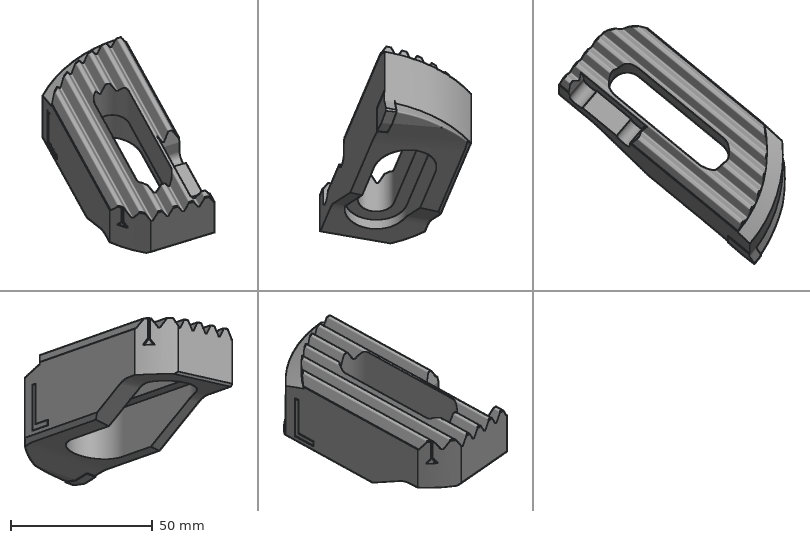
import cadquery as cq
import math

LENGTH = 90.5
WIDTH = 35.8
HEIGHT = 37.6
MARGIN = 9.05

PATCH_THICKNESS = 0.3
PATCH_LENGTH = 12.4
PATCH_HEIGHT = 11.8
PATCH_FRONT_Y = 32.1
PATCH_TOP_Z = 8.2
PATCH_LIP_Z = 2.2

AXIS_X = 52.85
TOP_RADIUS = 44.9
WALL_RADIUS = 50.5
FLARE_END_RADIUS = 53.2
LEDGE_Z = 33.0
WALL_TOP_Z = 29.9
WALL_BOTTOM_Z = 7.15
FLARE_END_Z = 0.45
TOE_FILLET = 0.45

TOOTH_COUNT = 6
TOOTH_PITCH = WIDTH / TOOTH_COUNT
VALLEY_Z = 33.85
CREST_WIDTH = 1.45
VALLEY_WIDTH = 0.5
CREST_FILLET = 0.5
VALLEY_FILLET = 0.4
CREST_END_CHAMFER = 0.4

FRONT_CHAMFER_Z = 7.8
RAMP_START_X = 48.9
RAMP_START_Z = 2.2
RAMP_ANGLE = 30.0
PAD_Z = 16.65
PAD_FILLET = 10.9
PAD_CHAMFER = 0.9

UNDERSIDE_TILT = 6.3
UNDERSIDE_Z = 2.3
TOE_LOW_X = 6.1
TOE_LOW_Z = 0.3
TOE_EDGE_Z = 1.1
TOE_END_X = 17.5
TOE_BLEND_RADIUS = 32.6

SLOT_LENGTH = 51.6
SLOT_WIDTH = 13.0
SLOT_X = 52.9
SLOT_Y = 20.0
RECESS_WIDTH = 22.4
RECESS_LENGTH = SLOT_LENGTH + RECESS_WIDTH - SLOT_WIDTH
RECESS_ROOF_Z = 20.8

NOTCH_X = 71.8
NOTCH_FRONT_Y = 27.9
NOTCH_FLOOR_WIDTH = 15.75
NOTCH_FLOOR_Z = 27.15
NOTCH_FLARE_Z = 31.95
NOTCH_FLARE_ANGLE = 16.0
GROOVE_RADIUS = 3.0

MARK_DEPTH = 0.4
LETTER_X = 21.5
LETTER_Z = 9.5
LETTER_WIDTH = 8.8
LETTER_HEIGHT = 16.9
LETTER_STEM = 1.7
LETTER_FOOT = 2.0
ARROW_X = 83.6
ARROW_BASE_Z = 27.6
ARROW_TIP_Z = 30.1
ARROW_WIDTH = 2.7
ARROW_STEM = 0.4


def block(x_min, x_max, y_min, y_max, z_min, z_max):
    """Axis-parallel box between the given limits."""
    size = (x_max - x_min, y_max - y_min, z_max - z_min)
    return cq.Workplane("XY").box(*size, centered=False).translate((x_min, y_min, z_min))


def along_y(sketch, y_min, y_max):
    """Sweep an XZ outline from y_min to y_max."""
    return sketch.extrude(y_min - y_max).translate((0, y_min, 0))


def turned(points):
    """Solid of revolution about the end axis from (radius, z) points."""
    profile = cq.Workplane("XZ").polyline(points).close()
    return profile.revolve(360, (0, 0, 0), (0, 1, 0)).translate((AXIS_X, WIDTH, 0))


def plan_form():
    """Left end with ledge, wall and flare; right end rounded to the top radius."""
    left = turned(
        [
            (0, -MARGIN),
            (FLARE_END_RADIUS, -MARGIN),
            (FLARE_END_RADIUS, FLARE_END_Z),
            (WALL_RADIUS, WALL_BOTTOM_Z),
            (WALL_RADIUS, WALL_TOP_Z),
            (TOP_RADIUS, LEDGE_Z),
            (TOP_RADIUS, HEIGHT - CREST_END_CHAMFER),
            (TOP_RADIUS - CREST_END_CHAMFER, HEIGHT),
            (0, HEIGHT),
        ]
    ).intersect(block(-MARGIN, AXIS_X, 0, WIDTH, -MARGIN, HEIGHT))
    right = turned(
        [
            (0, -MARGIN),
            (TOP_RADIUS, -MARGIN),
            (TOP_RADIUS, HEIGHT - CREST_END_CHAMFER),
            (TOP_RADIUS - CREST_END_CHAMFER, HEIGHT),
            (0, HEIGHT),
        ]
    ).intersect(block(AXIS_X, LENGTH, 0, WIDTH, -MARGIN, HEIGHT))
    return left.union(right)


def tooth_section():
    """Cross-section along the whole length: toothed top and chamfered front bottom edge."""
    half_crest = CREST_WIDTH / 2
    half_root = (TOOTH_PITCH - VALLEY_WIDTH) / 2
    points = [
        (WIDTH, -MARGIN),
        (FRONT_CHAMFER_Z + MARGIN, -MARGIN),
        (0, FRONT_CHAMFER_Z),
        (0, VALLEY_Z),
    ]
    for i in range(TOOTH_COUNT):
        middle = (i + 0.5) * TOOTH_PITCH
        points += [
            (middle - half_root, VALLEY_Z),
            (middle - half_crest, HEIGHT),
            (middle + half_crest, HEIGHT),
            (middle + half_root, VALLEY_Z),
        ]
    points.append((WIDTH, VALLEY_Z))
    section = cq.Workplane("YZ").polyline(points).close().extrude(LENGTH + 2 * MARGIN)
    crests = section.faces(">Z").edges("|X").vals()
    section = section.newObject(crests).fillet(CREST_FILLET)
    valleys = cq.selectors.BoxSelector(
        (0, VALLEY_WIDTH, VALLEY_Z - VALLEY_FILLET),
        (2 * LENGTH, WIDTH - VALLEY_WIDTH, VALLEY_Z + VALLEY_FILLET),
    )
    section = section.edges("|X").edges(valleys).fillet(VALLEY_FILLET)
    return section.translate((-MARGIN, 0, 0))


def side_outline():
    """Side outline: 30 degree ramp up to the thin pad at the right end."""
    rise = math.tan(math.radians(RAMP_ANGLE))
    pad_x = RAMP_START_X + (PAD_Z - RAMP_START_Z) / rise
    ramp_low_x = RAMP_START_X - (RAMP_START_Z + MARGIN) / rise
    outline = (
        cq.Workplane("XZ")
        .moveTo(-MARGIN, -MARGIN)
        .lineTo(ramp_low_x, -MARGIN)
        .lineTo(pad_x, PAD_Z)
        .lineTo(LENGTH - PAD_CHAMFER, PAD_Z)
        .lineTo(LENGTH, PAD_Z + PAD_CHAMFER)
        .lineTo(LENGTH, HEIGHT - CREST_END_CHAMFER)
        .lineTo(LENGTH - CREST_END_CHAMFER, HEIGHT)
        .lineTo(-MARGIN, HEIGHT)
        .close()
    )
    solid = along_y(outline, 0, WIDTH)
    corner = cq.selectors.NearestToPointSelector((pad_x, WIDTH / 2, PAD_Z))
    return solid.edges("|Y").edges(corner).fillet(PAD_FILLET)


def above_underside(drop):
    """Space above the tilted underside, lowered by drop."""
    edge_slope = (TOE_EDGE_Z - TOE_LOW_Z) / TOE_LOW_X
    outline = (
        cq.Workplane("XZ")
        .moveTo(-MARGIN, TOE_EDGE_Z + edge_slope * MARGIN - drop)
        .lineTo(TOE_LOW_X, TOE_LOW_Z - drop)
        .lineTo(TOE_END_X, UNDERSIDE_Z - drop)
        .lineTo(LENGTH + MARGIN, UNDERSIDE_Z - drop)
        .lineTo(LENGTH + MARGIN, 2 * HEIGHT)
        .lineTo(-MARGIN, 2 * HEIGHT)
        .close()
    )
    solid = along_y(outline, -MARGIN, WIDTH + MARGIN)
    corner = cq.selectors.NearestToPointSelector((TOE_END_X, WIDTH / 2, UNDERSIDE_Z - drop))
    solid = solid.edges("|Y").edges(corner).fillet(TOE_BLEND_RADIUS)
    return solid.rotate((0, WIDTH, 0), (1, WIDTH, 0), -UNDERSIDE_TILT)


def round_toe_edge(base):
    """Round the edge between the flared toe and the underside."""
    slope_zone = cq.selectors.BoxSelector(
        (-MARGIN, 0, -MARGIN), (TOE_END_X, WIDTH, WALL_BOTTOM_Z - TOE_FILLET)
    )
    return base.edges("%ELLIPSE").edges(slope_zone).fillet(TOE_FILLET)


def toe_patch():
    """Slightly thicker skin on the back corner of the toe."""
    patch = turned(
        [
            (0, -MARGIN),
            (AXIS_X, -MARGIN),
            (AXIS_X, PATCH_LIP_Z),
            (WALL_RADIUS + PATCH_THICKNESS, WALL_BOTTOM_Z),
            (WALL_RADIUS, PATCH_TOP_Z),
            (WALL_RADIUS, PATCH_HEIGHT),
            (0, PATCH_HEIGHT),
        ]
    )
    patch = patch.intersect(
        block(-MARGIN, PATCH_LENGTH, PATCH_FRONT_Y, WIDTH + PATCH_THICKNESS, -MARGIN, PATCH_HEIGHT)
    )
    return patch.intersect(above_underside(PATCH_THICKNESS))


def slot_cutter():
    """Through slot with a wider recess from below."""
    slot = (
        cq.Workplane("XY", origin=(SLOT_X, SLOT_Y, -MARGIN))
        .slot2D(SLOT_LENGTH, SLOT_WIDTH)
        .extrude(HEIGHT + 2 * MARGIN)
    )
    recess = (
        cq.Workplane("XY", origin=(SLOT_X, SLOT_Y, -MARGIN))
        .slot2D(RECESS_LENGTH, RECESS_WIDTH)
        .extrude(RECESS_ROOF_Z + MARGIN)
    )
    return slot.union(recess)


def notch_cutter():
    """Back notch: flared mouth, upright walls and a round-bottomed groove on each side of the floor."""
    half_width = NOTCH_FLOOR_WIDTH / 2 + 2 * GROOVE_RADIUS
    half_mouth = half_width + math.tan(math.radians(NOTCH_FLARE_ANGLE)) * (HEIGHT - NOTCH_FLARE_Z)
    opening = (
        cq.Workplane("XZ")
        .polyline(
            [
                (-half_width, NOTCH_FLOOR_Z),
                (half_width, NOTCH_FLOOR_Z),
                (half_width, NOTCH_FLARE_Z),
                (half_mouth, HEIGHT),
                (-half_mouth, HEIGHT),
                (-half_width, NOTCH_FLARE_Z),
            ]
        )
        .close()
    )
    notch = along_y(opening, NOTCH_FRONT_Y, WIDTH + MARGIN)
    groove_offset = half_width - GROOVE_RADIUS
    for side in (-1, 1):
        circle = cq.Workplane("XZ").center(side * groove_offset, NOTCH_FLOOR_Z).circle(GROOVE_RADIUS)
        notch = notch.union(along_y(circle, NOTCH_FRONT_Y, WIDTH + MARGIN))
    return notch.translate((NOTCH_X, 0, 0))


def make_base():
    """Grip base before the recesses for the marks are cut."""
    base = plan_form().intersect(tooth_section()).intersect(side_outline())
    base = base.intersect(above_underside(0))
    base = round_toe_edge(base).union(toe_patch())
    return base.cut(slot_cutter()).cut(notch_cutter())


def make_letter():
    """Letter L, flush with the front face."""
    outline = (
        cq.Workplane("XZ")
        .moveTo(LETTER_X, LETTER_Z)
        .lineTo(LETTER_X + LETTER_WIDTH, LETTER_Z)
        .lineTo(LETTER_X + LETTER_WIDTH, LETTER_Z + LETTER_FOOT)
        .lineTo(LETTER_X + LETTER_STEM, LETTER_Z + LETTER_FOOT)
        .lineTo(LETTER_X + LETTER_STEM, LETTER_Z + LETTER_HEIGHT)
        .lineTo(LETTER_X, LETTER_Z + LETTER_HEIGHT)
        .close()
    )
    return along_y(outline, 0, MARK_DEPTH)


def make_arrow(base):
    """Arrow mark with a stem up to the crest, flush with the rounded right corner."""
    half_stem = ARROW_STEM / 2
    tip_z = ARROW_TIP_Z - (ARROW_TIP_Z - ARROW_BASE_Z) * ARROW_STEM / ARROW_WIDTH
    outline = (
        cq.Workplane("XZ")
        .polyline(
            [
                (ARROW_X - ARROW_WIDTH / 2, ARROW_BASE_Z),
                (ARROW_X + ARROW_WIDTH / 2, ARROW_BASE_Z),
                (ARROW_X + half_stem, tip_z),
                (ARROW_X + half_stem, HEIGHT),
                (ARROW_X - half_stem, HEIGHT),
                (ARROW_X - half_stem, tip_z),
            ]
        )
        .close()
    )
    core_radius = TOP_RADIUS - MARK_DEPTH
    core = turned([(0, 0), (core_radius, 0), (core_radius, HEIGHT), (0, HEIGHT)])
    return along_y(outline, 0, WIDTH / 2).cut(core).intersect(base)


blank = make_base()
letter = make_letter()
arrow = make_arrow(blank)
base = blank.cut(letter).cut(arrow)

result = cq.Compound.makeCompound([base.val(), letter.val(), arrow.val()])